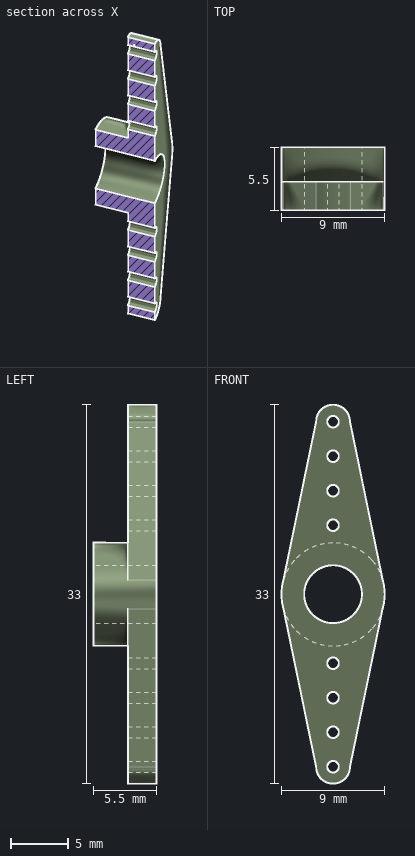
import cadquery as cq
import math

length = 33.0
hub_diameter = 9.0
bore_diameter = 5.0
total_depth = 5.5
arm_thickness = 2.5
tip_radius = 1.5
pin_hole_diameter = 1.0
pin_hole_pitch = 3.0
pin_holes_per_arm = 4
flank_start_height = 1.25

half_length = length / 2
hub_radius = hub_diameter / 2
tip_center_height = half_length - tip_radius
flank_start_x = math.sqrt(hub_radius**2 - flank_start_height**2)


def along_y(depth):
    """Extrusion distance toward +Y, since the XZ workplane faces -Y."""
    return -depth


def double_arm():
    """Flat lozenge-shaped lever with rounded tips and a rounded waist."""
    return (
        cq.Workplane("XZ")
        .moveTo(flank_start_x, flank_start_height)
        .lineTo(tip_radius, tip_center_height)
        .threePointArc((0, half_length), (-tip_radius, tip_center_height))
        .lineTo(-flank_start_x, flank_start_height)
        .threePointArc((-hub_radius, 0), (-flank_start_x, -flank_start_height))
        .lineTo(-tip_radius, -tip_center_height)
        .threePointArc((0, -half_length), (tip_radius, -tip_center_height))
        .lineTo(flank_start_x, -flank_start_height)
        .threePointArc((hub_radius, 0), (flank_start_x, flank_start_height))
        .close()
        .extrude(along_y(arm_thickness))
    )


def through_cylinder(diameter):
    """Cylinder along Y spanning the whole depth, centred on the hub axis."""
    return cq.Workplane("XZ").circle(diameter / 2).extrude(along_y(total_depth))


def pin_holes():
    """Rows of holes on both arms, counted inward from the tip centres."""
    centers = [
        (0, side * (tip_center_height - index * pin_hole_pitch))
        for side in (1, -1)
        for index in range(pin_holes_per_arm)
    ]
    return (
        cq.Workplane("XZ")
        .pushPoints(centers)
        .circle(pin_hole_diameter / 2)
        .extrude(along_y(arm_thickness))
    )


body = double_arm().union(through_cylinder(hub_diameter))
result = body.cut(through_cylinder(bore_diameter)).cut(pin_holes())